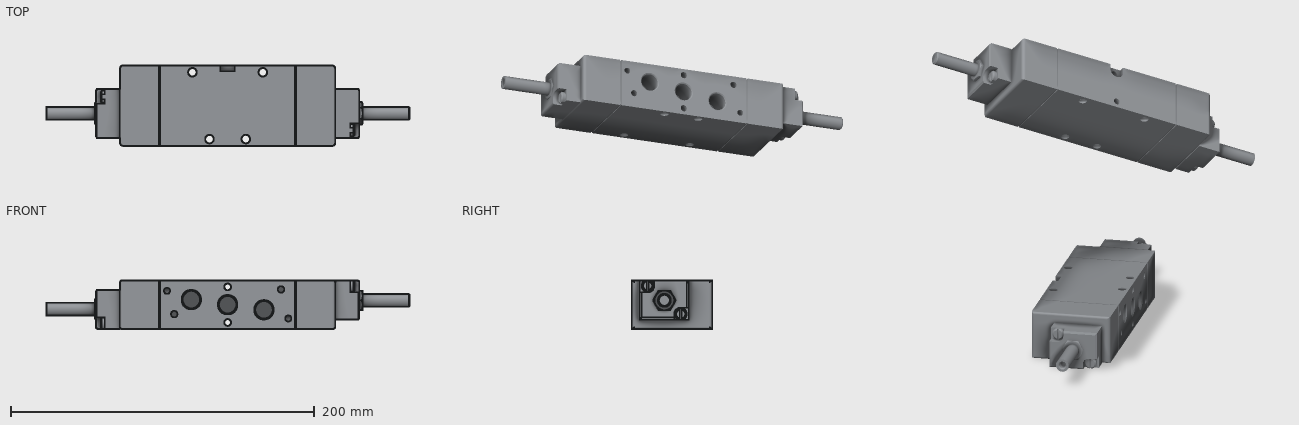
import cadquery as cq
import math


total_length = 239.0
width = 53.0
height = 32.0
left_tip_x = -119.3
right_tip_x = left_tip_x + total_length
top_z = height / 2
front_y = -width / 2
back_y = width / 2

caps_length = 141.8
seam_x = 44.7
seam_width = 1.0
seam_depth = 0.5
cap_side_fillet = 2.2
cap_top_fillet = 1.5

pilot_face_x = 86.8
pilot_length = pilot_face_x - caps_length / 2
pilot_width = 32.3
pilot_height = 25.8
pilot_y_min = -21.3
pilot_y_max = pilot_y_min + pilot_width
pilot_z_min = -top_z
pilot_z_max = pilot_z_min + pilot_height
pilot_chamfer_along = 1.5
pilot_chamfer_across = 0.7
pilot_bottom_fillet = 1.5

screw_inset_y = 5.3
screw_inset_z = 3.5
pocket_diameter = 8.5
pocket_depth = 6.0
head_diameter = 8.0
head_height = 2.9
head_chamfer = 1.0
screw_slot_width = 1.2
screw_slot_depth = 1.0

stem_y = -5.0
stem_z = -2.9
stem_diameter = 8.5
stem_tip_chamfer = 0.7
left_nut_thickness = 0.7
right_nut_thickness = 2.2
nut_flats = 13.0
nut_corners = nut_flats / math.cos(math.pi / 6)
nut_chamfer = 0.7
bore_diameter = 4.0
bore_depth = 9.5
bore_chamfer = 0.7

port_diameter = 11.5
port_depth = 19.1
port_chamfer = 0.7
port_pitch = 24.0
port_step = 3.3
ports = [(-port_pitch, port_step), (0, 0), (port_pitch, -port_step)]
cross_hole_diameter = 4.3
cross_hole_z = 11.7
screw_hole_diameter = 4.0
screw_hole_depth = 7.2
screw_holes = [(-40.0, 9.0), (40.0, -9.0)]
pin_hole_diameter = 4.3
pin_hole_depth = 7.2
pin_holes = [(-35.1, -6.2), (35.1, 10.0)]
drill_tip_angle = 118.0

mount_hole_diameter = 5.5
mount_hole_y = 22.0
front_mount_x = 12.0
back_mount_x = 23.2
notch_width = 9.5
notch_depth = 3.8
notch_straight = 3.8


def box_between(x_range, y_range, z_range):
    size = [high - low for low, high in (x_range, y_range, z_range)]
    return cq.Workplane("XY").box(*size, centered=False).translate(
        (x_range[0], y_range[0], z_range[0])
    )


def rod_along_x(diameter, x_start, x_end, y, z):
    return (
        cq.Workplane("YZ", origin=(x_start, y, z))
        .circle(diameter / 2)
        .extrude(x_end - x_start)
    )


def drilled_hole(start, direction, diameter, depth):
    """Blind hole with a conical drill tip."""
    radius = diameter / 2
    tip = radius / math.tan(math.radians(drill_tip_angle / 2))
    shaft = cq.Solid.makeCylinder(radius, depth, start, direction)
    cone = cq.Solid.makeCone(radius, 0, tip, start + direction * depth, direction)
    return cq.Workplane(shaft.fuse(cone))


def front_hole(x, z, diameter, depth):
    return (
        cq.Workplane("XZ", origin=(x, front_y, z))
        .circle(diameter / 2)
        .extrude(-depth)
    )


def make_body():
    blank = cq.Workplane("XY").box(caps_length, width, height)
    side_rounded = blank.edges("|Z").fillet(cap_side_fillet)
    body = side_rounded.intersect(blank.edges("|Y").fillet(cap_top_fillet))
    seam = cq.Workplane("XY").box(seam_width, width, height).cut(
        cq.Workplane("XY").box(seam_width, width - 2 * seam_depth, height - 2 * seam_depth)
    )
    for side in (-1, 1):
        body = body.cut(seam.translate((side * seam_x, 0, 0)))
    return body


def cut_front_holes(body):
    for x, z in ports:
        body = body.cut(front_hole(x, z, port_diameter, port_depth))
        mouth = cq.Solid.makeCone(
            port_diameter / 2 + port_chamfer,
            port_diameter / 2,
            port_chamfer,
            cq.Vector(x, front_y, z),
            cq.Vector(0, 1, 0),
        )
        body = body.cut(cq.Workplane(mouth))
    for z in (-cross_hole_z, cross_hole_z):
        body = body.cut(front_hole(0, z, cross_hole_diameter, width))
    for x, z in screw_holes:
        start = cq.Vector(x, front_y, z)
        hole = drilled_hole(start, cq.Vector(0, 1, 0), screw_hole_diameter, screw_hole_depth)
        body = body.cut(hole)
    for x, z in pin_holes:
        body = body.cut(front_hole(x, z, pin_hole_diameter, pin_hole_depth))
    return body


def cut_mount_holes(body):
    places = [(side * front_mount_x, -mount_hole_y) for side in (-1, 1)]
    places += [(side * back_mount_x, mount_hole_y) for side in (-1, 1)]
    holes = (
        cq.Workplane("XY", origin=(0, 0, -top_z))
        .pushPoints(places)
        .circle(mount_hole_diameter / 2)
        .extrude(height)
    )
    return body.cut(holes)


def cut_back_notch(body):
    """U-shaped notch, open to the top and to the back."""
    radius = notch_width / 2
    arc_z = top_z - notch_straight
    notch = (
        cq.Workplane("XZ", origin=(0, back_y, 0))
        .moveTo(-radius, top_z)
        .lineTo(-radius, arc_z)
        .threePointArc((0, arc_z - radius), (radius, arc_z))
        .lineTo(radius, top_z)
        .close()
        .extrude(notch_depth)
    )
    return body.cut(notch)


def make_pilot_block():
    """Left pilot head without its screws; its outer face looks toward -X."""
    block = box_between(
        (-pilot_face_x, -pilot_face_x + pilot_length),
        (pilot_y_min, pilot_y_max),
        (pilot_z_min, pilot_z_max),
    )
    bevelled = block.faces("<X").edges("|Z or >Z").chamfer(pilot_chamfer_along, pilot_chamfer_across)
    return bevelled.intersect(block.edges("<X and <Z").fillet(pilot_bottom_fillet))


def add_corner_screw(block, blank, side):
    """Open a corner pocket and seat a slotted screw; side +1 is the +Y +Z corner, -1 the opposite one."""
    corner_y = pilot_y_max if side > 0 else pilot_y_min
    corner_z = pilot_z_max if side > 0 else pilot_z_min
    y = corner_y - side * screw_inset_y
    z = corner_z - side * screw_inset_z
    radius = pocket_diameter / 2
    floor_x = -pilot_face_x + pocket_depth
    depth_range = (-pilot_face_x, floor_x)

    pocket = rod_along_x(pocket_diameter, *depth_range, y, z)
    pocket = pocket.union(
        box_between(depth_range, sorted((y - side * radius, corner_y)), sorted((z, corner_z)))
    )
    pocket = pocket.union(
        box_between(depth_range, sorted((y, corner_y)), sorted((z - side * radius, corner_z)))
    )

    head_x = floor_x - head_height
    head = rod_along_x(head_diameter, head_x, floor_x, y, z).faces("<X").chamfer(head_chamfer)
    slot = cq.Workplane("XY").box(2 * screw_slot_depth, screw_slot_width, head_diameter)
    head = head.cut(slot.translate((head_x, y, z)))
    return block.cut(pocket).union(head.intersect(blank))


def make_pilot_head():
    blank = make_pilot_block()
    block = blank
    for side in (-1, 1):
        block = add_corner_screw(block, blank, side)
    return block


def make_nut(thickness):
    """Nut on the left pilot face, with its outer corners turned down."""
    outer_x = -pilot_face_x - thickness
    hexagon = (
        cq.Workplane("YZ", origin=(outer_x, stem_y, stem_z))
        .polygon(6, nut_corners)
        .extrude(thickness)
    )
    corner_height = (nut_corners - nut_flats) / 2
    envelope = rod_along_x(nut_corners, outer_x, outer_x + thickness + nut_chamfer, stem_y, stem_z)
    envelope = envelope.faces("<X").chamfer(nut_chamfer, corner_height)
    return hexagon.intersect(envelope)


def make_left_stem():
    """Stem ending in a countersunk drilled bore."""
    stem = rod_along_x(stem_diameter, left_tip_x, -pilot_face_x, stem_y, stem_z)
    tip = cq.Vector(left_tip_x, stem_y, stem_z)
    inward = cq.Vector(1, 0, 0)
    countersink = cq.Solid.makeCone(
        bore_diameter / 2 + bore_chamfer, bore_diameter / 2, bore_chamfer, tip, inward
    )
    stem = stem.cut(drilled_hole(tip, inward, bore_diameter, bore_depth))
    return stem.cut(cq.Workplane(countersink))


def make_right_stem():
    """Plain stem with a bevelled tip, on the right pilot head's raised axis."""
    stem = rod_along_x(stem_diameter, pilot_face_x, right_tip_x, stem_y, -stem_z)
    return stem.faces(">X").chamfer(stem_tip_chamfer)


def to_right_end(shape):
    """Half turn about Y, carrying a left-end shape to the right end."""
    return shape.rotate((0, 0, 0), (0, 1, 0), 180)


result = make_body()
result = cut_front_holes(result)
result = cut_mount_holes(result)
result = cut_back_notch(result)

pilot_head = make_pilot_head()
result = result.union(pilot_head).union(to_right_end(pilot_head))
result = result.union(make_nut(left_nut_thickness))
result = result.union(to_right_end(make_nut(right_nut_thickness)))
result = result.union(make_left_stem()).union(make_right_stem())